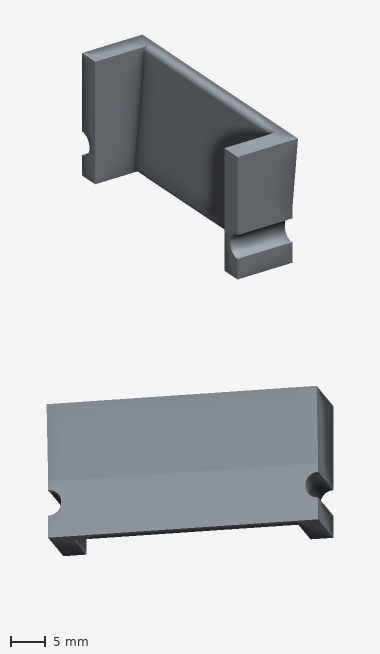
import cadquery as cq

length = 39.8
depth = 10.45
height = 19.7

wall = 3.4

rear_lean = 1.0
slope_height = 8.48

web_thickness = 2.0
edge_radius = 0.85

notch_radius = 1.9
notch_height = 5.2

lean_per_height = rear_lean / (height - slope_height)
lower_rear_y = depth - rear_lean
web_top_y = depth - web_thickness
web_bottom_y = web_top_y - lean_per_height * height


def end_wall(start_x):
    """Full-depth wall with the leaning rear face."""
    outline = [
        (0, 0),
        (lower_rear_y, 0),
        (lower_rear_y, slope_height),
        (depth, height),
        (0, height),
    ]
    return cq.Workplane("YZ", origin=(start_x, 0, 0)).polyline(outline).close().extrude(wall)


def web():
    """Leaning panel with rounded front edges, spanning between the walls."""
    outline = [
        (web_bottom_y, 0),
        (lower_rear_y, 0),
        (lower_rear_y, slope_height),
        (depth, height),
        (web_top_y, height),
    ]
    panel = (
        cq.Workplane("YZ", origin=(wall, 0, 0))
        .polyline(outline)
        .close()
        .extrude(length - 2 * wall)
    )
    top_edge = panel.faces(">Z").edges("<Y")
    bottom_edge = panel.faces("<Z").edges("<Y")
    return panel.newObject(top_edge.vals() + bottom_edge.vals()).fillet(edge_radius)


def notch(center_x):
    """Round cutter running front to back along an outer end."""
    return cq.Workplane("XZ", origin=(center_x, 0, notch_height)).circle(notch_radius).extrude(-depth)


result = end_wall(0).union(web()).union(end_wall(length - wall))
for end_x in (0, length):
    result = result.cut(notch(end_x))